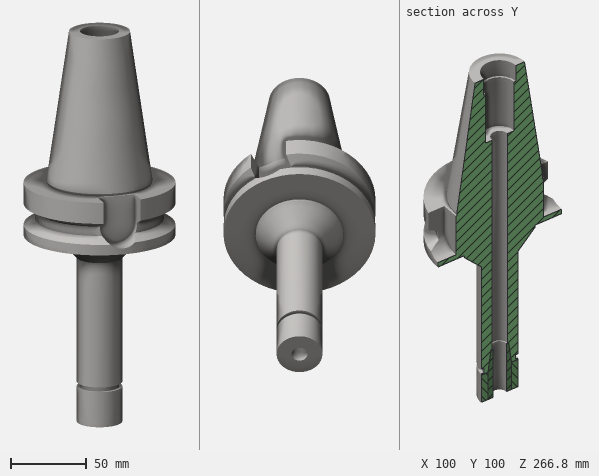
import cadquery as cq
import math

TOTAL_HEIGHT = 266.8
NUT_HEIGHT = 22.5
COLLAR_TOP = 24.0
NECK_TOP = 27.2
SHANK_TOP = 112.3
FLANGE_BOTTOM = 127.5
GROOVE_LIP_LOW = 134.7
GROOVE_FLOOR_LOW = 138.7
GROOVE_FLOOR_HIGH = 145.1
GROOVE_LIP_HIGH = 149.1
FLANGE_TOP = 163.5
GAUGE_PLANE = 165.1

SHANK_RADIUS = 30.1 / 2
NUT_RADIUS = SHANK_RADIUS
NECK_RADIUS = 12.8
SHOULDER_RADIUS = 28.8
FLANGE_RADIUS = 100.0 / 2
GROOVE_RADIUS = 42.5
RELIEF_RADIUS = 34.5
GAUGE_RADIUS = 35.0
TAPER_RATIO = 7 / 24
TAPER_TOP_RADIUS = GAUGE_RADIUS - (TOTAL_HEIGHT - GAUGE_PLANE) * TAPER_RATIO / 2

SHOULDER_TOP = SHANK_TOP + SHOULDER_RADIUS - SHANK_RADIUS

COUNTERBORE_RADIUS = 12.8
COUNTERBORE_DEPTH = 13.0
THREAD_RADIUS = 11.5
THREAD_BOTTOM = TOTAL_HEIGHT - 53.4
BORE_RADIUS = 6.1

SLOT_WIDTH = 25.5
SLOT_FLOOR_X = 35.5
SLOT_BOTTOM = 131.5

COLLET_RADIUS = 9.3
COLLET_TOP = 40.0
COLLET_BORE_RADIUS = 5.3
COLLET_CONE_ANGLE = 8.0
COLLET_TOP_RADIUS = COLLET_RADIUS - (COLLET_TOP - NUT_HEIGHT) * math.tan(
    math.radians(COLLET_CONE_ANGLE)
)


def revolve_about_z(profile):
    """Turn a closed (radius, height) profile about the Z axis."""
    return cq.Workplane("XZ").polyline(profile).close().revolve(360, (0, 0), (0, 1))


def make_drive_slot(side):
    """Round-bottomed slot cutter, open upward and outward on one X side."""
    half_width = SLOT_WIDTH / 2
    arc_height = SLOT_BOTTOM + half_width
    return (
        cq.Workplane("YZ", origin=(side * SLOT_FLOOR_X, 0, 0))
        .moveTo(-half_width, FLANGE_TOP)
        .lineTo(-half_width, arc_height)
        .threePointArc((0, SLOT_BOTTOM), (half_width, arc_height))
        .lineTo(half_width, FLANGE_TOP)
        .close()
        .extrude(side * FLANGE_RADIUS)
    )


def make_holder():
    """Tapered tool holder with its V-flange, shank, stepped bore and drive slots."""
    bore_profile = [
        (COLLET_RADIUS, NUT_HEIGHT),
        (COLLET_TOP_RADIUS, COLLET_TOP),
        (BORE_RADIUS, COLLET_TOP),
        (BORE_RADIUS, THREAD_BOTTOM),
        (THREAD_RADIUS, THREAD_BOTTOM),
        (THREAD_RADIUS, TOTAL_HEIGHT - COUNTERBORE_DEPTH),
        (COUNTERBORE_RADIUS, TOTAL_HEIGHT - COUNTERBORE_DEPTH),
        (COUNTERBORE_RADIUS, TOTAL_HEIGHT),
    ]
    outer_profile = [
        (TAPER_TOP_RADIUS, TOTAL_HEIGHT),
        (GAUGE_RADIUS, GAUGE_PLANE),
        (RELIEF_RADIUS, FLANGE_TOP),
        (FLANGE_RADIUS, FLANGE_TOP),
        (FLANGE_RADIUS, GROOVE_LIP_HIGH),
        (GROOVE_RADIUS, GROOVE_FLOOR_HIGH),
        (GROOVE_RADIUS, GROOVE_FLOOR_LOW),
        (FLANGE_RADIUS, GROOVE_LIP_LOW),
        (FLANGE_RADIUS, FLANGE_BOTTOM),
        (SHOULDER_RADIUS, FLANGE_BOTTOM),
        (SHOULDER_RADIUS, SHOULDER_TOP),
        (SHANK_RADIUS, SHANK_TOP),
        (SHANK_RADIUS, NECK_TOP),
        (NECK_RADIUS, NECK_TOP),
        (NECK_RADIUS, COLLAR_TOP),
        (SHANK_RADIUS, COLLAR_TOP),
        (SHANK_RADIUS, NUT_HEIGHT),
    ]
    holder = revolve_about_z(bore_profile + outer_profile)
    for side in (-1, 1):
        holder = holder.cut(make_drive_slot(side))
    return holder


def make_nut():
    """Clamping nut around the front of the collet."""
    return cq.Workplane("XY").circle(NUT_RADIUS).circle(COLLET_RADIUS).extrude(NUT_HEIGHT)


def make_collet():
    """Collet seated in the nut and in the conical mouth of the holder."""
    return revolve_about_z([
        (COLLET_BORE_RADIUS, 0),
        (COLLET_RADIUS, 0),
        (COLLET_RADIUS, NUT_HEIGHT),
        (COLLET_TOP_RADIUS, COLLET_TOP),
        (COLLET_BORE_RADIUS, COLLET_TOP),
    ])


holder = make_holder()
nut = make_nut()
collet = make_collet()

result = cq.Compound.makeCompound([holder.solids().val(), nut.val(), collet.val()])